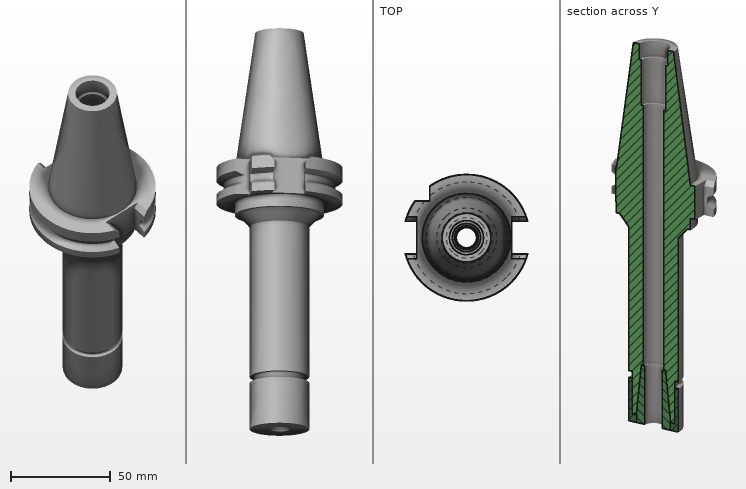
import cadquery as cq

TOTAL_HEIGHT = 203.5
TAPER_LENGTH = 68.3
FLANGE_GAP = 1.0
FLANGE_THICKNESS = 18.1
COLLAR_HEIGHT = 6.1
SHOULDER_HEIGHT = 6.0
NUT_HEIGHT = 23.5
NOSE_GAP = 3.3

GAUGE_Z = TOTAL_HEIGHT - TAPER_LENGTH
FLANGE_TOP_Z = GAUGE_Z - FLANGE_GAP
FLANGE_BOTTOM_Z = FLANGE_TOP_Z - FLANGE_THICKNESS
COLLAR_BOTTOM_Z = FLANGE_BOTTOM_Z - COLLAR_HEIGHT
SHANK_TOP_Z = COLLAR_BOTTOM_Z - SHOULDER_HEIGHT
SHANK_BOTTOM_Z = NUT_HEIGHT + NOSE_GAP

TAPER_SMALL_RADIUS = 12.2
TAPER_LARGE_RADIUS = 22.2
FLANGE_RADIUS = 31.7
COLLAR_RADIUS = 22.4
SHOULDER_RADIUS = 20.3
SHANK_DIAMETER = 30.0
SHANK_RADIUS = SHANK_DIAMETER / 2
NOSE_RADIUS = 12.8

GROOVE_RADIUS = 28.0
GROOVE_FLOOR_HEIGHT = 3.7
GROOVE_FLANK_RISE = 2.0
GROOVE_CENTER_DROP = 10.2
GROOVE_CENTER_Z = FLANGE_TOP_Z - GROOVE_CENTER_DROP

SLOT_WIDTH = 16.3
SLOT_CHAMFER = 2.5
LEFT_SLOT_FLOOR = 25.0
RIGHT_SLOT_FLOOR = 22.8

NOTCH_DISTANCE = 18.5

COUNTERBORE_RADIUS = 8.5
COUNTERBORE_DEPTH = 8.3
THREAD_RADIUS = 7.1
THREAD_DEPTH = 32.5
THROUGH_RADIUS = 6.0

COLLET_BORE_RADIUS = 5.0
COLLET_LARGE_RADIUS = 10.2
COLLET_REAR_RADIUS = 7.1
COLLET_LENGTH = 31.5
COLLET_FACE_LENGTH = 4.0

NUT_RADIUS = SHANK_RADIUS
NUT_BAND_HEIGHT = 1.8
NUT_BAND_STEP = 0.1


def revolved(points):
    """Solid of revolution about Z from (radius, z) points."""
    return cq.Workplane("XZ").polyline(points).close().revolve(360, (0, 0), (0, 1))


def holder_blank():
    """Outer shape of the holder, from the nose at the bottom to the taper at the top."""
    floor_half = GROOVE_FLOOR_HEIGHT / 2
    return revolved([
        (0, COLLET_FACE_LENGTH),
        (NOSE_RADIUS, COLLET_FACE_LENGTH),
        (NOSE_RADIUS, SHANK_BOTTOM_Z),
        (SHANK_RADIUS, SHANK_BOTTOM_Z),
        (SHANK_RADIUS, SHANK_TOP_Z),
        (SHOULDER_RADIUS, COLLAR_BOTTOM_Z),
        (COLLAR_RADIUS, COLLAR_BOTTOM_Z),
        (COLLAR_RADIUS, FLANGE_BOTTOM_Z),
        (FLANGE_RADIUS, FLANGE_BOTTOM_Z),
        (FLANGE_RADIUS, GROOVE_CENTER_Z - floor_half - GROOVE_FLANK_RISE),
        (GROOVE_RADIUS, GROOVE_CENTER_Z - floor_half),
        (GROOVE_RADIUS, GROOVE_CENTER_Z + floor_half),
        (FLANGE_RADIUS, GROOVE_CENTER_Z + floor_half + GROOVE_FLANK_RISE),
        (FLANGE_RADIUS, FLANGE_TOP_Z),
        (TAPER_LARGE_RADIUS, FLANGE_TOP_Z),
        (TAPER_LARGE_RADIUS, GAUGE_Z),
        (TAPER_SMALL_RADIUS, TOTAL_HEIGHT),
        (0, TOTAL_HEIGHT),
    ])


def drive_slot(floor_distance, side):
    """Cutter for one drive slot; side is -1 for the -X side and +1 for the +X side."""
    half = SLOT_WIDTH / 2
    profile = [
        (-half, FLANGE_BOTTOM_Z),
        (half, FLANGE_BOTTOM_Z),
        (half, FLANGE_TOP_Z - SLOT_CHAMFER),
        (half + SLOT_CHAMFER, FLANGE_TOP_Z),
        (-half - SLOT_CHAMFER, FLANGE_TOP_Z),
        (-half, FLANGE_TOP_Z - SLOT_CHAMFER),
    ]
    return (
        cq.Workplane("YZ", origin=(side * floor_distance, 0, 0))
        .polyline(profile)
        .close()
        .extrude(side * FLANGE_RADIUS)
    )


def corner_notch():
    """Cutter for the square notch at the -X +Y corner of the flange."""
    return (
        cq.Workplane("XY", origin=(-NOTCH_DISTANCE, NOTCH_DISTANCE, FLANGE_BOTTOM_Z))
        .rect(-FLANGE_RADIUS, FLANGE_RADIUS, centered=False)
        .extrude(FLANGE_THICKNESS)
    )


def holder_bore():
    """Cutter for the stepped bore through the holder."""
    step_z = TOTAL_HEIGHT - COUNTERBORE_DEPTH
    thread_end_z = TOTAL_HEIGHT - THREAD_DEPTH
    return revolved([
        (0, 0),
        (THROUGH_RADIUS, 0),
        (THROUGH_RADIUS, thread_end_z),
        (THREAD_RADIUS, thread_end_z),
        (THREAD_RADIUS, step_z),
        (COUNTERBORE_RADIUS, step_z),
        (COUNTERBORE_RADIUS, TOTAL_HEIGHT),
        (0, TOTAL_HEIGHT),
    ])


def collet_blank():
    """Collet without its bore, which is also the shape of its seat."""
    return revolved([
        (0, 0),
        (COLLET_LARGE_RADIUS, 0),
        (COLLET_LARGE_RADIUS, COLLET_FACE_LENGTH),
        (COLLET_REAR_RADIUS, COLLET_LENGTH),
        (0, COLLET_LENGTH),
    ])


def make_holder():
    """Tapered tool holder, with a seat for the collet in its nose."""
    holder = holder_blank().cut(holder_bore())
    holder = holder.cut(drive_slot(LEFT_SLOT_FLOOR, -1))
    holder = holder.cut(drive_slot(RIGHT_SLOT_FLOOR, 1))
    holder = holder.cut(corner_notch())
    return holder.cut(collet_blank())


def make_collet():
    """Conical collet bored through for the tool."""
    bore = cq.Workplane("XY").circle(COLLET_BORE_RADIUS).extrude(COLLET_LENGTH)
    return collet_blank().cut(bore)


def make_nut():
    """Cap around the holder nose, with a lip around the front of the collet."""
    band_z = NUT_HEIGHT - NUT_BAND_HEIGHT
    band_radius = NUT_RADIUS + NUT_BAND_STEP
    return revolved([
        (COLLET_LARGE_RADIUS, 0),
        (NUT_RADIUS, 0),
        (NUT_RADIUS, band_z),
        (band_radius, band_z),
        (band_radius, NUT_HEIGHT),
        (NOSE_RADIUS, NUT_HEIGHT),
        (NOSE_RADIUS, COLLET_FACE_LENGTH),
        (COLLET_LARGE_RADIUS, COLLET_FACE_LENGTH),
    ])


holder = make_holder()
collet = make_collet()
nut = make_nut()

result = cq.Compound.makeCompound([holder.val(), collet.val(), nut.val()])